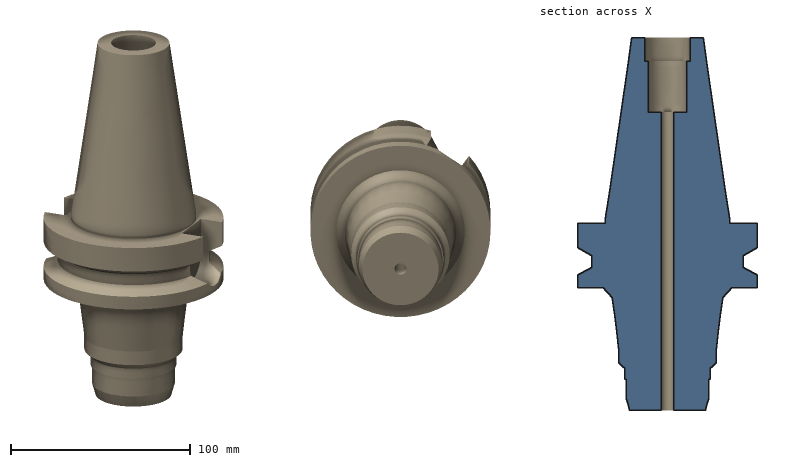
import cadquery as cq

total_height = 207.5
gauge_height = 105.9
flange_top = 104.5
flange_bottom = 68.0

gauge_radius = 34.9
taper_ratio = 7 / 24
shank_end_radius = gauge_radius - (total_height - gauge_height) * taper_ratio / 2

flange_radius = 50.0
groove_radius = 42.4
groove_upper_edge = 90.5
groove_floor_top = 86.2
groove_floor_bottom = 79.7
groove_lower_edge = 75.5

neck_flare_radius = 35.7
neck_top_radius = 31.0
neck_top = 63.0
collar_radius = 27.5
collar_top = 34.9
collar_bottom = 26.8

nose_upper_radius = 23.9
nose_upper_top = 23.5
nose_step_height = 17.5
nose_radius = 23.0
nose_taper_height = 6.6
nose_end_radius = 21.2

slot_width = 25.7
slot_wall_offset = 35.3
slot_bottom = 71.8
slot_center_height = slot_bottom + slot_width / 2

counterbore_radius = 12.5
counterbore_depth = 13.3
bore_radius = 10.5
bore_depth = 41.5
through_hole_radius = 3.3


def turned_body():
    """Revolve the half outline (radius, height) about Z."""
    outline = [
        (0, 0),
        (nose_end_radius, 0),
        (nose_radius, nose_taper_height),
        (nose_radius, nose_step_height),
        (nose_upper_radius, nose_step_height),
        (nose_upper_radius, nose_upper_top),
        (collar_radius, collar_bottom),
        (collar_radius, collar_top),
        (neck_top_radius, neck_top),
        (neck_flare_radius, flange_bottom),
        (flange_radius, flange_bottom),
        (flange_radius, groove_lower_edge),
        (groove_radius, groove_floor_bottom),
        (groove_radius, groove_floor_top),
        (flange_radius, groove_upper_edge),
        (flange_radius, flange_top),
        (gauge_radius, flange_top),
        (gauge_radius, gauge_height),
        (shank_end_radius, total_height),
        (0, total_height),
    ]
    return cq.Workplane("XZ").polyline(outline).close().revolve(360, (0, 0), (0, 1))


def drive_slot(side):
    """Cutter for one drive slot; side is -1 or +1 along X."""
    half_width = slot_width / 2
    return (
        cq.Workplane("YZ", origin=(side * slot_wall_offset, 0, 0))
        .moveTo(-half_width, flange_top)
        .lineTo(-half_width, slot_center_height)
        .threePointArc((0, slot_bottom), (half_width, slot_center_height))
        .lineTo(half_width, flange_top)
        .close()
        .extrude(side * flange_radius)
    )


def bore_from_top(radius, depth):
    """Cylindrical cutter sunk from the shank end."""
    return cq.Workplane("XY", origin=(0, 0, total_height)).circle(radius).extrude(-depth)


result = turned_body()
for side in (-1, 1):
    result = result.cut(drive_slot(side))

result = result.cut(bore_from_top(counterbore_radius, counterbore_depth))
result = result.cut(bore_from_top(bore_radius, bore_depth))
result = result.cut(bore_from_top(through_hole_radius, total_height))